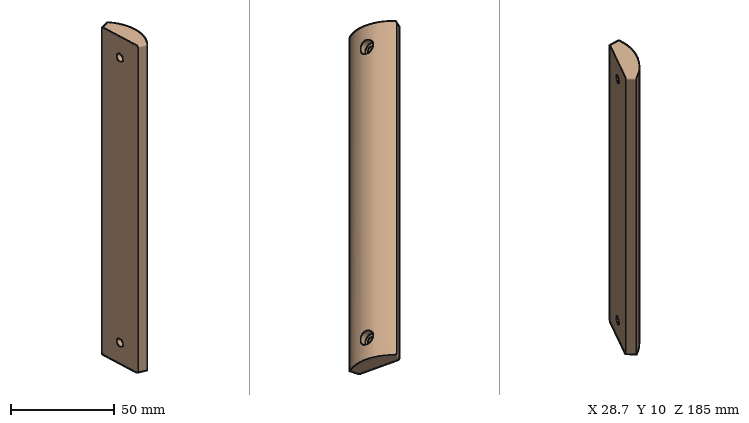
import cadquery as cq
import math

length = 185.0
max_width = 28.7
height = 10.0

flat_width = 25.3
crown_radius = 22.0
tip_half_width = max_width / 2
end_edge_radius = 1.1

hole_diameter = 4.3
counterbore_diameter = 7.5
counterbore_depth = 4.0
hole_end_distance = 12.0

front_y = -height / 2
back_y = height / 2
tip_y = back_y - crown_radius + math.sqrt(crown_radius**2 - tip_half_width**2)


def make_bar():
    """Extrude the crowned section along Z and round its sides at both ends."""
    bar = (
        cq.Workplane("XY")
        .workplane(offset=-length / 2)
        .moveTo(-flat_width / 2, front_y)
        .lineTo(flat_width / 2, front_y)
        .lineTo(tip_half_width, tip_y)
        .threePointArc((0, back_y), (-tip_half_width, tip_y))
        .close()
        .extrude(length)
    )
    side_middle_x = (flat_width / 2 + tip_half_width) / 2
    side_middle_y = (front_y + tip_y) / 2
    for side in (-1, 1):
        for end in (-1, 1):
            middle = (side * side_middle_x, side_middle_y, end * length / 2)
            bar = bar.edges(cq.selectors.NearestToPointSelector(middle)).fillet(end_edge_radius)
    return bar


def make_hole_cutter(z):
    """Through hole along Y plus its counterbore, at height z."""
    back_plane = cq.Workplane("XZ", origin=(0, back_y, z))
    through_hole = back_plane.circle(hole_diameter / 2).extrude(height)
    counterbore = back_plane.circle(counterbore_diameter / 2).extrude(counterbore_depth)
    return through_hole.union(counterbore)


result = make_bar()
for end in (-1, 1):
    result = result.cut(make_hole_cutter(end * (length / 2 - hole_end_distance)))